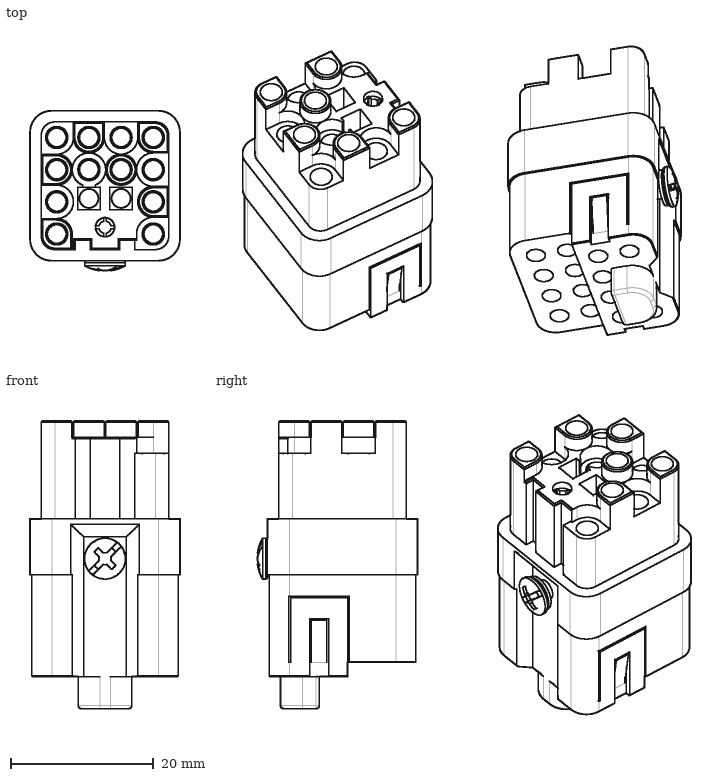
import cadquery as cq
import math

HEIGHT = 40.3
FLANGE_SIDE = 21.0
FLANGE_RADIUS = 3.02
FLANGE_TOP = 26.55
FLANGE_BOTTOM = 18.75
LOWER_INSET = 0.25
LOWER_BOTTOM = 4.5
BOTTOM_CHAMFER = 0.12
REAR_BOTTOM = 6.53
REAR_STEP_Y = 0.73

BLOCK_SIDE = 17.85
BLOCK_RADIUS = 1.9
SHELF_Z = 38.0
POCKET_Z = 35.7
EDGE_CHAMFER = 0.2
NOTCH_INNER_X = 2.05
NOTCH_OUTER_X = 4.15
NOTCH_DEPTH = 1.3

GRID = 4
GRID_SPAN = 13.5
PITCH = GRID_SPAN / (GRID - 1)
POCKET_RADIUS = 2.35
POST_RADIUS = PITCH - POCKET_RADIUS
WIRE_DIAMETER = 2.6
WIRE_RADIUS = WIRE_DIAMETER / 2
MOUTH_RADIUS = 1.55
MOUTH_DEPTH = 4.85
POST_CELLS = [(1, 0), (3, 0), (0, 1), (2, 1), (3, 2), (0, 3)]
POCKET_CELLS = [(0, 0), (2, 0), (1, 1), (3, 1), (0, 2), (3, 3)]
OPEN_POCKET = (1, 1)
OPEN_POCKET_NECK = 1.77

SQUARE_SOCKET_SIDE = 3.1
SQUARE_SOCKET_Y = -1.77
EARTH_Y = -5.8
EARTH_RADIUS = 1.35
EARTH_DEPTH = 1.1
EARTH_BORE_RADIUS = 0.85
EARTH_BORE_DEPTH = 3.22
EARTH_SLIT_LENGTH = 2.85
EARTH_SLIT_WIDTH = 0.4

CHANNEL_WIDTH = 9.65
CHANNEL_FLOOR_WIDTH = 5.95
CHANNEL_TOP = 25.8
CHANNEL_FLOOR_TOP = 24.05
CHANNEL_DEPTH = 1.8

FOOT_WIDTH = 7.55
FOOT_REAR_Y = -3.22
FOOT_FRONT_RADIUS = 3.05
FOOT_REAR_RADIUS = 0.52
FOOT_EDGE_RADIUS = 0.5

LATCH_REAR_Y = REAR_STEP_Y
LATCH_FRONT_Y = -7.25
LATCH_TOP = 15.5
LATCH_GAP = 0.25
WINDOW_REAR_Y = -1.95
WINDOW_FRONT_Y = -4.6
WINDOW_TOP = 12.6
WINDOW_DEPTH = 0.8

SCREW_Z = 21.0
SCREW_PROTRUSION = 1.45
HEAD_RADIUS = 2.85
HEAD_UNDERSIDE_RADIUS = 2.75
HEAD_UNDERSIDE = 0.0
HEAD_RIM_START = 0.25
HEAD_RIM_END = 0.7
SHANK_RADIUS = 1.45
WASHER_RADIUS = 2.55
WASHER_BACK = -0.65
WASHER_FRONT = -0.2
SLOT_WIDTH = 0.8
RECESS_LENGTH = 3.45
RECESS_BOTTOM = 0.2
RECESS_HUB_RADIUS = 0.85
SLOT_ANGLE = 45

FRONT_Y = -FLANGE_SIDE / 2
FLOOR_Y = FRONT_Y + CHANNEL_DEPTH
LOWER_SIDE = FLANGE_SIDE - 2 * LOWER_INSET
LOWER_RADIUS = FLANGE_RADIUS - LOWER_INSET
LOWER_FACE_X = LOWER_SIDE / 2
BLOCK_FRONT_Y = -BLOCK_SIDE / 2
NOTCH_BACK_Y = BLOCK_FRONT_Y + NOTCH_DEPTH


def box_between(x0, x1, y0, y1, z0, z1):
    """Box spanning the given pairs of coordinates."""
    size = (x1 - x0, y1 - y0, z1 - z0)
    return cq.Workplane("XY").box(*size, centered=False).translate((x0, y0, z0))


def rounded_block(side, radius, z0, z1):
    """Square prism centred on Z with rounded upright edges."""
    block = cq.Workplane("XY").workplane(offset=z0).rect(side, side).extrude(z1 - z0)
    return block.edges("|Z").fillet(radius)


def cylinder(x, y, radius, z0, z1):
    return cq.Workplane("XY").workplane(offset=z0).center(x, y).circle(radius).extrude(z1 - z0)


def cell_centre(column, row):
    """Column 0 is at -X, row 0 is at +Y."""
    middle = (GRID - 1) / 2
    return (column - middle) * PITCH, (middle - row) * PITCH


def outward(index):
    """-1 or 1 for a cell on the first or last line of the grid, else 0."""
    return (index == GRID - 1) - (index == 0)


def cell_prism(column, row, radius, z0, z1):
    """Cylinder around a contact, carried straight out past any outer wall beside it."""
    x, y = cell_centre(column, row)
    reach = POCKET_RADIUS
    side_x = outward(column)
    side_y = -outward(row)
    prism = cylinder(x, y, radius, z0, z1)
    if side_x:
        x0, x1 = sorted((x, x + side_x * reach))
        prism = prism.union(box_between(x0, x1, y - radius, y + radius, z0, z1))
    if side_y:
        y0, y1 = sorted((y, y + side_y * reach))
        prism = prism.union(box_between(x - radius, x + radius, y0, y1, z0, z1))
    if side_x and side_y:
        prism = prism.union(box_between(x0, x1, y0, y1, z0, z1))
    return prism


def make_housing():
    """Flange and lower body, stepped up at the rear, with the front channel."""
    flange = rounded_block(FLANGE_SIDE, FLANGE_RADIUS, FLANGE_BOTTOM, FLANGE_TOP)
    lower = rounded_block(LOWER_SIDE, LOWER_RADIUS, LOWER_BOTTOM, FLANGE_BOTTOM)
    lower = lower.faces("<Z").chamfer(BOTTOM_CHAMFER)
    rear_step = box_between(-FLANGE_SIDE, FLANGE_SIDE, REAR_STEP_Y, FLANGE_SIDE, 0, REAR_BOTTOM)
    channel = (
        cq.Workplane("XZ", origin=(0, FRONT_Y, 0))
        .center(0, CHANNEL_TOP / 2)
        .rect(CHANNEL_WIDTH, CHANNEL_TOP)
        .workplane(offset=-CHANNEL_DEPTH)
        .center(0, (CHANNEL_FLOOR_TOP - CHANNEL_TOP) / 2)
        .rect(CHANNEL_FLOOR_WIDTH, CHANNEL_FLOOR_TOP)
        .loft(ruled=True)
    )
    return flange.union(lower).cut(rear_step).cut(channel)


def make_foot():
    """Foot whose front lies flush with the channel floor."""
    foot = box_between(-FOOT_WIDTH / 2, FOOT_WIDTH / 2, FLOOR_Y, FOOT_REAR_Y, 0, REAR_BOTTOM)
    foot = foot.edges("|Z and <Y").fillet(FOOT_FRONT_RADIUS)
    foot = foot.edges("|Z and >Y").fillet(FOOT_REAR_RADIUS)
    return foot.faces("<Z").edges().fillet(FOOT_EDGE_RADIUS)


def make_contact_block():
    """Upper block: notched front, chamfered shelf, low pockets and tall posts."""
    block = rounded_block(BLOCK_SIDE, BLOCK_RADIUS, FLANGE_TOP, SHELF_Z)
    for x0, x1 in ((-NOTCH_OUTER_X, -NOTCH_INNER_X), (NOTCH_INNER_X, NOTCH_OUTER_X)):
        block = block.cut(box_between(x0, x1, BLOCK_FRONT_Y, NOTCH_BACK_Y, FLANGE_TOP, SHELF_Z))
    block = block.faces(">Z").chamfer(EDGE_CHAMFER)

    for column, row in POCKET_CELLS:
        block = block.cut(cell_prism(column, row, POCKET_RADIUS, POCKET_Z, HEIGHT))
    corner_x, _ = cell_centre(GRID - 1, GRID - 1)
    block = block.cut(box_between(NOTCH_OUTER_X, corner_x, BLOCK_FRONT_Y, NOTCH_BACK_Y, POCKET_Z, HEIGHT))

    outline = rounded_block(BLOCK_SIDE, BLOCK_RADIUS, FLANGE_TOP, HEIGHT)
    for column, row in POST_CELLS:
        post = cell_prism(column, row, POST_RADIUS, FLANGE_TOP, HEIGHT).intersect(outline)
        block = block.union(post.faces(">Z").chamfer(EDGE_CHAMFER))
    return block


def cut_contact_holes(body):
    """Stepped through holes at the posts and pockets."""
    tops = [(cell, HEIGHT) for cell in POST_CELLS] + [(cell, POCKET_Z) for cell in POCKET_CELLS]
    for cell, top in tops:
        x, y = cell_centre(*cell)
        body = body.cut(cylinder(x, y, WIRE_RADIUS, 0, HEIGHT))
        body = body.cut(cylinder(x, y, MOUTH_RADIUS, top - MOUTH_DEPTH, top))
    return body


def cut_square_sockets(body):
    """Square sockets with round through holes, one joined to the pocket behind it."""
    half = SQUARE_SOCKET_SIDE / 2
    y = SQUARE_SOCKET_Y
    for x in (-PITCH / 2, PITCH / 2):
        body = body.cut(box_between(x - half, x + half, y - half, y + half, FLANGE_TOP, HEIGHT))
        body = body.cut(cylinder(x, y, WIRE_RADIUS, 0, HEIGHT))
    x, pocket_y = cell_centre(*OPEN_POCKET)
    neck = OPEN_POCKET_NECK / 2
    return body.cut(box_between(x - neck, x + neck, y, pocket_y, POCKET_Z, HEIGHT))


def cut_earth_socket(body):
    """Recessed sleeve split by crossed slits."""
    floor = SHELF_Z - EARTH_DEPTH
    bottom = SHELF_Z - EARTH_BORE_DEPTH
    body = body.cut(cylinder(0, EARTH_Y, EARTH_RADIUS, floor, SHELF_Z))
    body = body.cut(cylinder(0, EARTH_Y, EARTH_BORE_RADIUS, bottom, floor))
    long_half = EARTH_SLIT_LENGTH / 2
    slit_half = EARTH_SLIT_WIDTH / 2
    for half_x, half_y in ((long_half, slit_half), (slit_half, long_half)):
        slit = box_between(-half_x, half_x, EARTH_Y - half_y, EARTH_Y + half_y, bottom, floor)
        body = body.cut(slit)
    return body


def make_latch_cut():
    """Cuts for the latch in the -X face: outline groove and window with sloping tongue."""
    face = -LOWER_FACE_X
    groove = box_between(
        face, face + LATCH_GAP, LATCH_FRONT_Y - LATCH_GAP, LATCH_REAR_Y + LATCH_GAP,
        REAR_BOTTOM, LATCH_TOP + LATCH_GAP,
    )
    latch = box_between(face, face + LATCH_GAP, LATCH_FRONT_Y, LATCH_REAR_Y, REAR_BOTTOM, LATCH_TOP)
    back = face + WINDOW_DEPTH
    window = box_between(face, back, WINDOW_FRONT_Y, WINDOW_REAR_Y, LOWER_BOTTOM, WINDOW_TOP)
    tongue_top = WINDOW_TOP - LATCH_GAP
    tongue = (
        cq.Workplane("XZ", origin=(0, WINDOW_REAR_Y - LATCH_GAP, 0))
        .polyline([(face, tongue_top), (back, tongue_top), (back, REAR_BOTTOM)])
        .close()
        .extrude(WINDOW_REAR_Y - WINDOW_FRONT_Y - 2 * LATCH_GAP)
    )
    return groove.cut(latch).union(window.cut(tongue))


def make_screw():
    """Domed screw with washer, slot and cross recess, modelled along +Y then turned to face -Y."""
    floor = -CHANNEL_DEPTH
    rim_rise = SCREW_PROTRUSION - HEAD_RIM_END
    dome_radius = (HEAD_RADIUS**2 + rim_rise**2) / (2 * rim_rise)
    half_angle = math.asin(HEAD_RADIUS / dome_radius) / 2
    dome_middle = (
        dome_radius * math.sin(half_angle),
        SCREW_PROTRUSION - dome_radius * (1 - math.cos(half_angle)),
    )
    screw = (
        cq.Workplane("XY")
        .moveTo(0, floor)
        .lineTo(SHANK_RADIUS, floor)
        .lineTo(SHANK_RADIUS, WASHER_BACK)
        .lineTo(WASHER_RADIUS, WASHER_BACK)
        .lineTo(WASHER_RADIUS, WASHER_FRONT)
        .lineTo(SHANK_RADIUS, WASHER_FRONT)
        .lineTo(SHANK_RADIUS, HEAD_UNDERSIDE)
        .lineTo(HEAD_UNDERSIDE_RADIUS, HEAD_UNDERSIDE)
        .lineTo(HEAD_RADIUS, HEAD_RIM_START)
        .lineTo(HEAD_RADIUS, HEAD_RIM_END)
        .threePointArc(dome_middle, (0, SCREW_PROTRUSION))
        .close()
        .revolve(360, (0, 0, 0), (0, 1, 0))
    )

    def groove(length_x, length_z, bottom):
        half_x = length_x / 2
        half_z = length_z / 2
        return box_between(-half_x, half_x, bottom, SCREW_PROTRUSION, -half_z, half_z)

    drive = groove(SLOT_WIDTH, 2 * HEAD_RADIUS, HEAD_RIM_END)
    drive = drive.union(groove(SLOT_WIDTH, RECESS_LENGTH, RECESS_BOTTOM))
    drive = drive.union(groove(RECESS_LENGTH, SLOT_WIDTH, RECESS_BOTTOM))
    hub = cq.Workplane("XZ", origin=(0, RECESS_BOTTOM, 0))
    hub = hub.circle(RECESS_HUB_RADIUS).extrude(-SCREW_PROTRUSION)
    drive = drive.union(hub).rotate((0, 0, 0), (0, 1, 0), SLOT_ANGLE)
    return screw.cut(drive).mirror("XZ").translate((0, FRONT_Y, SCREW_Z))


latch_cut = make_latch_cut()
body = make_housing().union(make_foot()).union(make_contact_block())
body = cut_contact_holes(body)
body = cut_square_sockets(body)
body = cut_earth_socket(body)
body = body.cut(latch_cut).cut(latch_cut.mirror("YZ"))
result = body.union(make_screw())